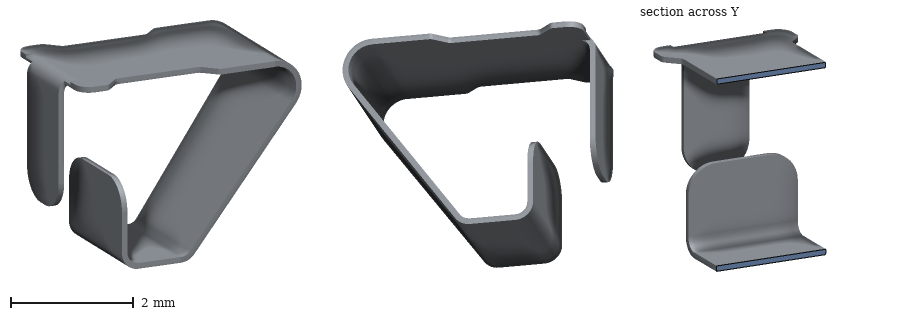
import cadquery as cq
import math

length = 4.1
height = 3.3
sheet = 0.1
plate_half = 1.25
foot_half = 1.0
tab_half = 0.6
relief_half = 0.845
back_radius = 0.5
foot_radius = 0.3
tab_radius = 0.25
foot_front = 0.95
foot_back = 2.017
lip_top = 1.5
tab_bottom = 1.0
end_radius = 0.5
plate_corner = 0.25
waist_fillet = 0.1
waist_front = 0.84
waist_back = 2.355

plate_under = height - sheet
back_y = length - back_radius
back_z = height - back_radius


def extrude_x(profile, half_width):
    """Extrude a closed YZ profile symmetrically about X = 0."""
    return profile.close().extrude(half_width, both=True)


def on_circle(center, radius, angle):
    return (center[0] + radius * math.cos(angle), center[1] + radius * math.sin(angle))


def make_plate():
    """Flat top plate with a waist and a partly rounded front edge."""
    waist_step = plate_half - foot_half
    wide_front = waist_front - waist_step
    wide_back = waist_back + waist_step
    plate = (
        cq.Workplane("XY")
        .workplane(offset=plate_under)
        .center(0, (sheet + back_y) / 2)
        .rect(2 * plate_half, back_y - sheet)
        .extrude(sheet)
        .edges("|Z and <Y")
        .fillet(plate_corner)
    )
    for side in (-1, 1):
        notch = (
            cq.Workplane("XY")
            .workplane(offset=plate_under)
            .polyline([
                (side * plate_half, wide_front),
                (side * foot_half, waist_front),
                (side * foot_half, waist_back),
                (side * plate_half, wide_back),
            ])
            .close()
            .extrude(sheet)
        )
        plate = plate.cut(notch)
    waist_corners = cq.selectors.BoxSelector(
        (-length, wide_front - sheet, 0), (length, wide_back + sheet, length)
    )
    plate = plate.edges("|Z").edges(waist_corners).fillet(waist_fillet)

    bend_diagonal = tab_radius * (1 - math.sqrt(0.5))
    edge_waste = extrude_x(
        cq.Workplane("YZ")
        .moveTo(tab_radius, height)
        .threePointArc((bend_diagonal, height - bend_diagonal), (0, height - tab_radius))
        .lineTo(0, height),
        relief_half,
    )
    return plate.cut(edge_waste)


def make_tab():
    """Front tab hanging from its bend, with a rounded lower end."""
    inner_radius = tab_radius - sheet
    center = (tab_radius, height - tab_radius)
    diagonal = math.radians(135)
    profile = (
        cq.Workplane("YZ")
        .moveTo(tab_radius, height)
        .threePointArc(on_circle(center, tab_radius, diagonal), (0, center[1]))
        .lineTo(0, tab_bottom)
        .lineTo(sheet, tab_bottom)
        .lineTo(sheet, center[1])
        .threePointArc(on_circle(center, inner_radius, diagonal), (tab_radius, plate_under))
    )
    return extrude_x(profile, tab_half).edges("|Y and <Z").fillet(end_radius)


def make_leg():
    """Back bend, sloping leg and rear foot bend, tapering towards the foot."""
    back_center = (back_y, back_z)
    foot_center = (foot_back, foot_radius)
    run = back_y - foot_back
    drop = back_z - foot_radius
    tilt = math.atan2(run, drop) + math.asin((back_radius - foot_radius) / math.hypot(run, drop))
    normal = -tilt
    back_middle = (math.pi / 2 + normal) / 2
    foot_middle = (normal - math.pi / 2) / 2
    back_inner = back_radius - sheet
    foot_inner = foot_radius - sheet
    profile = (
        cq.Workplane("YZ")
        .moveTo(back_y, height)
        .threePointArc(
            on_circle(back_center, back_radius, back_middle),
            on_circle(back_center, back_radius, normal),
        )
        .lineTo(*on_circle(foot_center, foot_radius, normal))
        .threePointArc(on_circle(foot_center, foot_radius, foot_middle), (foot_back, 0))
        .lineTo(foot_back, sheet)
        .threePointArc(
            on_circle(foot_center, foot_inner, foot_middle),
            on_circle(foot_center, foot_inner, normal),
        )
        .lineTo(*on_circle(back_center, back_inner, normal))
        .threePointArc(
            on_circle(back_center, back_inner, back_middle),
            (back_y, plate_under),
        )
    )
    taper = (
        cq.Workplane("XZ")
        .polyline([(-foot_half, 0), (foot_half, 0), (plate_half, height), (-plate_half, height)])
        .close()
        .extrude(-length)
    )
    return extrude_x(profile, plate_half).intersect(taper)


def make_foot():
    """Flat foot with an upturned, round-cornered lip."""
    inner_radius = foot_radius - sheet
    center = (foot_front + foot_radius, foot_radius)
    diagonal = math.radians(225)
    profile = (
        cq.Workplane("YZ")
        .moveTo(foot_back, 0)
        .lineTo(center[0], 0)
        .threePointArc(on_circle(center, foot_radius, diagonal), (foot_front, foot_radius))
        .lineTo(foot_front, lip_top)
        .lineTo(foot_front + sheet, lip_top)
        .lineTo(foot_front + sheet, foot_radius)
        .threePointArc(on_circle(center, inner_radius, diagonal), (center[0], sheet))
        .lineTo(foot_back, sheet)
    )
    return extrude_x(profile, foot_half).edges("|Y and >Z").fillet(end_radius)


result = make_plate().union(make_tab()).union(make_leg()).union(make_foot())